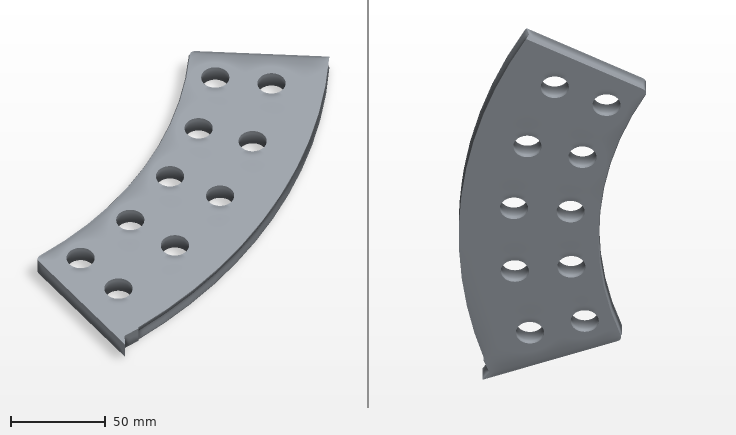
import cadquery as cq
import math

length = 213.3
thickness = 9.4
sector_angle = 50.0
inner_radius = 204.8
outer_radius = length / math.sin(math.radians(sector_angle))
corner_fillet = 3.0

tongue_height = 0.6
tongue_flank = 1.0
tongue_setback = corner_fillet

groove_depth = 1.5
groove_lip = 0.6

bevel_width = 1.7
bevel_height = 0.5

pad_x = 278.8
pad_length = 12.8
spur_x = 284.2
spur_length = 3.6

hole_diameter = 15.0
hole_row_radii = (220.0, 250.0)
holes_per_row = 5
hole_pitch_angle = sector_angle / holes_per_row


def polar(radius, angle):
    """Point at a radius and an angle in degrees."""
    return radius * math.cos(math.radians(angle)), radius * math.sin(math.radians(angle))


def make_body():
    """Ring sector with rounded inner corners, full thickness."""
    middle = sector_angle / 2
    sector = (
        cq.Workplane("XY")
        .moveTo(inner_radius, 0)
        .lineTo(outer_radius, 0)
        .threePointArc(polar(outer_radius, middle), polar(outer_radius, sector_angle))
        .lineTo(*polar(inner_radius, sector_angle))
        .threePointArc(polar(inner_radius, middle), (inner_radius, 0))
        .close()
        .extrude(thickness)
    )
    inner_corners = ((inner_radius, 0), polar(inner_radius, sector_angle))
    for x, y in inner_corners:
        corner = cq.selectors.NearestToPointSelector((x, y, thickness / 2))
        sector = sector.edges(corner).fillet(corner_fillet)
    return sector


def sweep_profile(points, start_angle, end_angle):
    """Revolve a closed (radius, height) profile about Z between two angles."""
    return (
        cq.Workplane("XZ")
        .polyline(points)
        .close()
        .revolve(end_angle - start_angle, (0, 0, 0), (0, -1, 0))
        .rotate((0, 0, 0), (0, 0, 1), end_angle)
    )


def make_tongue():
    """Rib along the inner arc, stopping where the corner fillets begin."""
    root = inner_radius + tongue_height
    crest = inner_radius - tongue_height
    profile = (
        (root, 0),
        (inner_radius, 0),
        (crest, tongue_flank),
        (crest, thickness - tongue_flank),
        (inner_radius, thickness),
        (root, thickness),
    )
    margin = math.degrees(tongue_setback / inner_radius)
    return sweep_profile(profile, margin, sector_angle - margin)


def make_groove():
    """Cutter for the V groove, from the pad to the far end."""
    profile = (
        (outer_radius, groove_lip),
        (outer_radius - groove_depth, thickness / 2),
        (outer_radius, thickness - groove_lip),
        (outer_radius + groove_depth, thickness / 2),
    )
    start_angle = math.degrees(math.asin(pad_length / outer_radius))
    return sweep_profile(profile, start_angle, sector_angle)


def make_pad_and_spur():
    """Full-thickness pad whose outline flares out to a point on the X axis."""
    root_x = outer_radius - groove_depth
    return (
        cq.Workplane("XY")
        .polyline(
            [
                (root_x, 0),
                (spur_x, 0),
                (pad_x, spur_length),
                (pad_x, pad_length),
                (root_x, pad_length),
            ]
        )
        .close()
        .extrude(thickness)
    )


def make_end_bevel():
    """Wedge that bevels the top edge of the far end face."""
    return (
        cq.Workplane("YZ")
        .polyline(
            [
                (-bevel_width, thickness),
                (0, thickness - bevel_height),
                (0, thickness),
            ]
        )
        .close()
        .extrude(outer_radius)
        .rotate((0, 0, 0), (0, 0, 1), sector_angle)
    )


def make_holes():
    """Cutters for two concentric rows of through holes, evenly spread over the sector."""
    centres = [
        polar(radius, (index + 0.5) * hole_pitch_angle)
        for radius in hole_row_radii
        for index in range(holes_per_row)
    ]
    return cq.Workplane("XY").pushPoints(centres).circle(hole_diameter / 2).extrude(thickness)


result = (
    make_body()
    .union(make_tongue())
    .union(make_pad_and_spur())
    .cut(make_groove())
    .cut(make_end_bevel())
    .cut(make_holes())
)